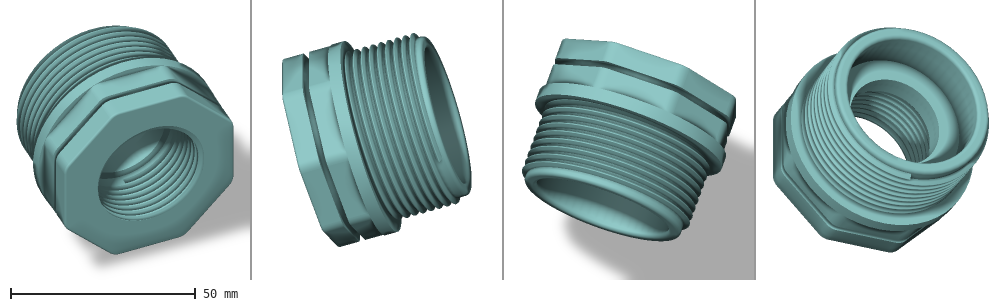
import cadquery as cq
import math


TOTAL_LENGTH = 39.0
COLLAR_START = 21.7
COLLAR_LENGTH = 3.5
COLLAR_END = COLLAR_START + COLLAR_LENGTH
GRIP_LENGTH = TOTAL_LENGTH - COLLAR_END

PITCH = 25.4 / 11
FLANK_HALF_ANGLE = math.radians(27.5)
THREAD_DEPTH = 1.479
CREST_ARC_RADIUS = 0.2
THREAD_OVERLAP = 0.3
MALE_CREST_RADIUS = 47.803 / 2
MALE_ROOT_RADIUS = MALE_CREST_RADIUS - THREAD_DEPTH
MALE_THREAD_START = 2.24
MALE_TURNS = 9
FEMALE_ROOT_RADIUS = 33.249 / 2
FEMALE_CREST_RADIUS = FEMALE_ROOT_RADIUS - THREAD_DEPTH
FEMALE_BORE_START = 19.6

COLLAR_RADIUS = 53.7 / 2
GRIP_ACROSS_FLATS = 50.0
GRIP_SIDES = 8
GRIP_CORNER_RADIUS = 4.1
GRIP_END_FILLET = 0.6

GROOVE_WIDTH = 1.8
GROOVE_BOTTOM_RADIUS = 23.5
GROOVE_CENTRE = COLLAR_END + GRIP_LENGTH / 2

ENTRY_BORE_RADIUS = 19.0
ENTRY_BORE_DEPTH = 13.0
PASSAGE_RADIUS = 13.1
RIM_FILLET = 1.0


def cylinder(radius, start, end):
    """Cylinder on the axis between two axial positions.

    Its seam is turned a quarter turn away from where the thread ridges begin.
    """
    blank = cq.Workplane("XY").workplane(offset=start).circle(radius).extrude(end - start)
    return blank.rotate((0, 0, 0), (0, 0, 1), 90)


def thread_ridge(base_radius, crest_radius, start, turns):
    """Right-hand helical ridge with a rounded crest; its base is sunk THREAD_OVERLAP past base_radius."""
    outward = math.copysign(1, crest_radius - base_radius)
    sunk_radius = base_radius - outward * THREAD_OVERLAP
    half_crest = CREST_ARC_RADIUS * math.cos(FLANK_HALF_ANGLE)
    flank_end = crest_radius - outward * CREST_ARC_RADIUS * (1 - math.sin(FLANK_HALF_ANGLE))
    half_base = half_crest + abs(flank_end - sunk_radius) * math.tan(FLANK_HALF_ANGLE)
    profile = (
        cq.Workplane("XZ")
        .moveTo(sunk_radius, start - half_base)
        .lineTo(flank_end, start - half_crest)
        .threePointArc((crest_radius, start), (flank_end, start + half_crest))
        .lineTo(sunk_radius, start + half_base)
        .close()
    )
    helix = cq.Wire.makeHelix(PITCH, PITCH * turns, base_radius, cq.Vector(0, 0, start))
    return profile.sweep(cq.Workplane(obj=helix), isFrenet=True)


def male_spigot():
    core = cylinder(MALE_ROOT_RADIUS, 0, COLLAR_START).faces("<Z").edges().fillet(RIM_FILLET)
    collar = cylinder(COLLAR_RADIUS, COLLAR_START, COLLAR_END)
    ridge = thread_ridge(MALE_ROOT_RADIUS, MALE_CREST_RADIUS, MALE_THREAD_START, MALE_TURNS)
    return core.union(collar).union(ridge)


def octagonal_grip():
    corner_diameter = GRIP_ACROSS_FLATS / math.cos(math.pi / GRIP_SIDES)
    return (
        cq.Workplane("XY")
        .workplane(offset=COLLAR_END)
        .transformed(rotate=(0, 0, 180 / GRIP_SIDES))
        .polygon(GRIP_SIDES, corner_diameter)
        .extrude(GRIP_LENGTH)
        .edges("|Z")
        .fillet(GRIP_CORNER_RADIUS)
        .faces(">Z")
        .edges()
        .fillet(GRIP_END_FILLET)
    )


def grip_groove():
    half_width = GROOVE_WIDTH / 2
    arc_radius = GROOVE_BOTTOM_RADIUS + half_width
    return (
        cq.Workplane("XZ")
        .moveTo(COLLAR_RADIUS, GROOVE_CENTRE - half_width)
        .lineTo(arc_radius, GROOVE_CENTRE - half_width)
        .threePointArc((GROOVE_BOTTOM_RADIUS, GROOVE_CENTRE), (arc_radius, GROOVE_CENTRE + half_width))
        .lineTo(COLLAR_RADIUS, GROOVE_CENTRE + half_width)
        .close()
        .revolve(360, (0, 0, 0), (0, 1, 0))
    )


def entry_bore():
    """Plain bore in the male end with a rounded mouth."""
    mouth_radius = ENTRY_BORE_RADIUS + RIM_FILLET
    arc_offset = RIM_FILLET * (1 - math.sqrt(0.5))
    return (
        cq.Workplane("XZ")
        .lineTo(mouth_radius, 0)
        .threePointArc((ENTRY_BORE_RADIUS + arc_offset, arc_offset), (ENTRY_BORE_RADIUS, RIM_FILLET))
        .lineTo(ENTRY_BORE_RADIUS, ENTRY_BORE_DEPTH)
        .lineTo(0, ENTRY_BORE_DEPTH)
        .close()
        .revolve(360, (0, 0, 0), (0, 1, 0))
    )


def female_thread_groove():
    """Helical cutting body for the threaded bore, running out through the grip end."""
    first_turn = FEMALE_BORE_START + PITCH
    turns = math.ceil((TOTAL_LENGTH - first_turn) / PITCH)
    return thread_ridge(FEMALE_CREST_RADIUS, FEMALE_ROOT_RADIUS, first_turn, turns)


fitting = male_spigot().union(octagonal_grip())
fitting = fitting.cut(grip_groove())
fitting = fitting.cut(entry_bore())
fitting = fitting.cut(cylinder(PASSAGE_RADIUS, 0, TOTAL_LENGTH))
fitting = fitting.cut(cylinder(FEMALE_CREST_RADIUS, FEMALE_BORE_START, TOTAL_LENGTH))
fitting = fitting.cut(female_thread_groove())

result = fitting.rotate((0, 0, 0), (0, 1, 0), 90)